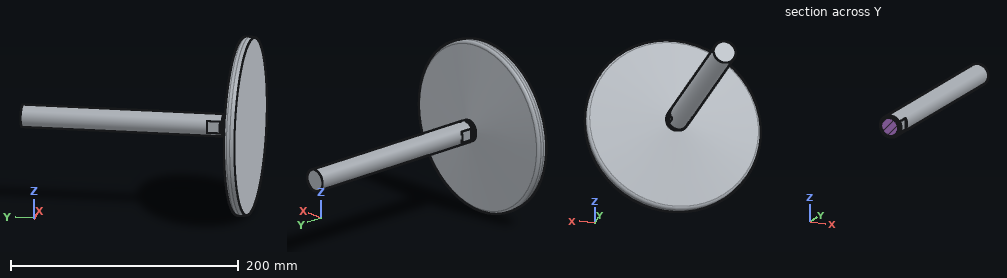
import cadquery as cq
import math

total_length = 204.0

foot_radius = 158.0 / 2
underside_radius = 78.3
lower_rim_height = 4.0
straight_rim_top = 7.0
shoulder_round = 2.9
cone_top_height = 21.0
cone_top_radius = 9.8
collar_base_height = 22.5
collar_height = 23.0
collar_radius = 8.5

stem_radius = 20.0 / 2
stem_start = 24.3
neck_top_radius = 6.7
neck_base_radius = 7.8
flats_width = 17.0
flats_start = 26.0
flats_end = 37.3


def make_foot():
    """Round foot: flat disc, rounded shoulder, shallow cone and a small collar on a flared base."""
    shoulder_radius = foot_radius - shoulder_round
    shoulder_height = straight_rim_top + shoulder_round
    diagonal = shoulder_round * math.sqrt(0.5)
    shoulder_middle = (shoulder_radius + diagonal, straight_rim_top + diagonal)
    profile = (
        cq.Workplane("XY")
        .lineTo(underside_radius, 0)
        .lineTo(foot_radius, lower_rim_height)
        .lineTo(foot_radius, straight_rim_top)
        .threePointArc(shoulder_middle, (shoulder_radius, shoulder_height))
        .lineTo(cone_top_radius, cone_top_height)
        .lineTo(collar_radius, collar_base_height)
        .lineTo(collar_radius, collar_height)
        .lineTo(0, collar_height)
        .close()
    )
    return profile.revolve(360, (0, 0, 0), (0, 1, 0))


def make_stem():
    """Long round stem on a short tapered neck that rests on the collar, with two wrench flats."""
    stem = (
        cq.Workplane("XY")
        .moveTo(0, collar_height)
        .lineTo(neck_base_radius, collar_height)
        .lineTo(neck_top_radius, stem_start)
        .lineTo(stem_radius, stem_start)
        .lineTo(stem_radius, total_length)
        .lineTo(0, total_length)
        .close()
        .revolve(360, (0, 0, 0), (0, 1, 0))
    )
    flats_length = flats_end - flats_start
    flats_middle = (flats_start + flats_end) / 2
    flat_depth = stem_radius - flats_width / 2
    for side in (-1, 1):
        cutter = cq.Workplane("XY").box(2 * flat_depth, flats_length, 2 * stem_radius)
        stem = stem.cut(cutter.translate((side * stem_radius, flats_middle, 0)))
    return stem


foot = make_foot()
stem = make_stem()

result = cq.Compound.makeCompound([foot.val(), stem.val()])